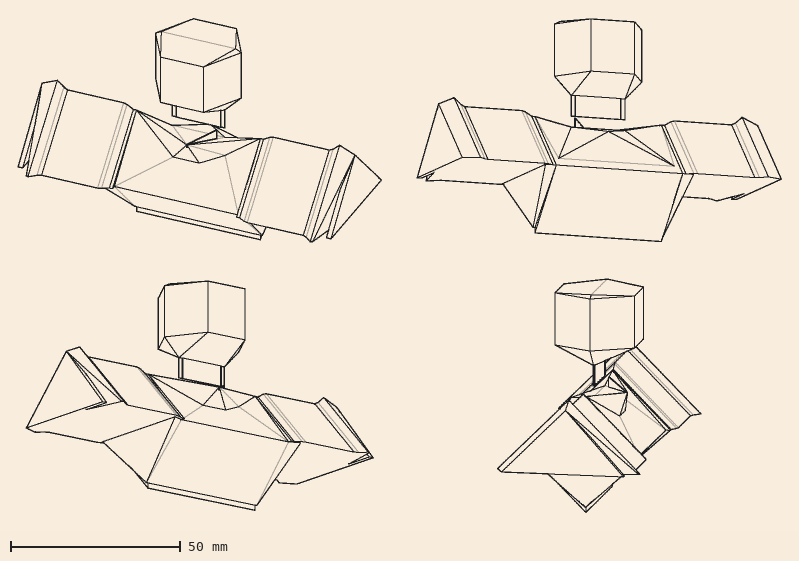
import cadquery as cq
import math


HALF_LENGTH = 50.5
RIM_TIP_RADIUS = 19.3
RIM_X = 45.6
RIM_WIDTH = 42.9
RIM_RADIUS = RIM_WIDTH / 2
RIM_FOOT_X = 43.4
RIM_FOOT_RADIUS = 19.6
SLEEVE_OUTER_X = 42.2
SLEEVE_INNER_X = 24.1
SLEEVE_RADIUS = 19.0
SLEEVE_BEND_X = 23.0
SLEEVE_BEND_RADIUS = 18.7
PIPE_START_X = 21.0
PIPE_RADIUS = 17.5
BODY_HALF_LENGTH = 20.0
SOCKET_STATIONS = [
    (HALF_LENGTH, RIM_TIP_RADIUS),
    (RIM_X, RIM_RADIUS),
    (RIM_FOOT_X, RIM_FOOT_RADIUS),
    (SLEEVE_OUTER_X, SLEEVE_RADIUS),
    (SLEEVE_INNER_X, SLEEVE_RADIUS),
    (SLEEVE_BEND_X, SLEEVE_BEND_RADIUS),
    (PIPE_START_X, PIPE_RADIUS),
    (BODY_HALF_LENGTH, PIPE_RADIUS),
]
END_PLATE_THICKNESS = 1.5
NOTCH_DEPTH = 4.3

BODY_FRONT_Y = -16.1
BRANCH_RADIUS = 8.5
SADDLE_Z = 15.0
BACK_SADDLE_Z = 12.8
BACK_BEND_X = 18.3
BACK_BEND_Y = 14.9
FRONT_NOTCH_LEFT_X = -5.0
FRONT_NOTCH_RIGHT_X = 3.4
FRONT_NOTCH_Z = 8.9
FRONT_PEAK_X = 10.5
FRONT_PEAK_Z = 11.7

SHOULDER_X = 23.4
KEEL_X = 20.6
KEEL_Z = -15.9

FIN_THICKNESS = 0.3
FIN_FOOT_Z = 14.1
FIN_TOP_Z = 18.1
FIN_RIGHT_X = 6.8

HEX_SIDES = 6
HEX_RADIUS = 13.8
HEX_BOTTOM_Z = 29.9
HEX_TOP_Z = 45.6
CAP_TOP_Z = 46.5
TOP_RIDGE_HALF_LENGTH = HEX_RADIUS * math.cos(math.pi / HEX_SIDES)
NECK_TOP_Z = 24.4
NECK_BOTTOM_Z = 18.3
NECK_MIDDLE_HALF_WIDTH = 7.2
NECK_THICKNESS = 0.4
NECK_EDGE_THICKNESS = 0.2


def solid_from_faces(faces):
    """A solid closed by flat faces, each given by its corner points."""
    shell_faces = [
        cq.Face.makeFromWires(cq.Wire.makePolygon([cq.Vector(*p) for p in face], close=True))
        for face in faces
    ]
    return cq.Workplane(cq.Solid.makeSolid(cq.Shell.makeShell(shell_faces)).fix())


def mirrored(point):
    """The point's mirror image on the other half of the pipe."""
    return (-point[0], point[1], point[2])


def roof_section(x, radius, front_reach):
    """Triangle across the pipe axis, with its base on z = 0 and its apex above the axis."""
    corners = [(x, -front_reach, 0), (x, radius, 0), (x, 0, radius)]
    return cq.Wire.makePolygon([cq.Vector(*corner) for corner in corners], close=True)


def ruled_loft(sections):
    return cq.Workplane(cq.Solid.makeLoft(sections, True))


def make_left_socket():
    socket = ruled_loft([roof_section(-x, radius, radius) for x, radius in SOCKET_STATIONS])

    notch = (
        cq.Workplane("XY")
        .polyline(
            [
                (-HALF_LENGTH, 0),
                (-HALF_LENGTH + NOTCH_DEPTH, -RIM_RADIUS),
                (-HALF_LENGTH, -RIM_RADIUS),
            ]
        )
        .close()
        .extrude(RIM_RADIUS)
    )

    plate_faces = [-HALF_LENGTH, -HALF_LENGTH + END_PLATE_THICKNESS]
    plate = ruled_loft([roof_section(x, RIM_TIP_RADIUS, PIPE_RADIUS) for x in plate_faces])
    return socket.cut(notch).union(plate)


def make_upper_half():
    """A roof whose ridge dips to a saddle at the branch."""
    left_ridge = (-BODY_HALF_LENGTH, 0, PIPE_RADIUS)
    left_front = (-BODY_HALF_LENGTH, BODY_FRONT_Y, 0)
    left_back = (-BODY_HALF_LENGTH, PIPE_RADIUS, 0)
    left_bend = (-BACK_BEND_X, BACK_BEND_Y, PIPE_RADIUS - BACK_BEND_Y)
    left_seat = (-BRANCH_RADIUS, 0, SADDLE_Z)
    right_ridge = mirrored(left_ridge)
    right_front = mirrored(left_front)
    right_back = mirrored(left_back)
    right_bend = mirrored(left_bend)
    right_seat = mirrored(left_seat)
    front_seat = (0, -BRANCH_RADIUS, SADDLE_Z)
    back_seat = (0, BRANCH_RADIUS, BACK_SADDLE_Z)

    notch_left = (FRONT_NOTCH_LEFT_X, BODY_FRONT_Y + FRONT_NOTCH_Z, FRONT_NOTCH_Z)
    notch_right = (FRONT_NOTCH_RIGHT_X, BODY_FRONT_Y + FRONT_NOTCH_Z, FRONT_NOTCH_Z)
    peak = (FRONT_PEAK_X, BODY_FRONT_Y + FRONT_PEAK_Z, FRONT_PEAK_Z)

    return solid_from_faces(
        [
            [left_front, left_back, right_back, right_front],
            [left_ridge, left_bend, left_back],
            [left_ridge, left_back, left_front],
            [right_ridge, right_back, right_bend],
            [right_ridge, right_front, right_back],
            [left_front, right_front, peak, notch_right, notch_left],
            [left_ridge, left_front, notch_left],
            [left_ridge, notch_left, front_seat],
            [front_seat, notch_left, notch_right],
            [front_seat, notch_right, peak],
            [front_seat, peak, right_ridge],
            [right_ridge, peak, right_front],
            [left_ridge, front_seat, left_seat],
            [right_ridge, right_seat, front_seat],
            [front_seat, right_seat, left_seat],
            [back_seat, left_seat, right_seat],
            [left_ridge, left_seat, left_bend],
            [left_bend, left_seat, back_seat],
            [right_ridge, right_bend, right_seat],
            [right_bend, back_seat, right_seat],
            [left_bend, back_seat, right_bend],
            [left_back, left_bend, right_bend, right_back],
        ]
    )


def make_lower_half():
    """A keel whose ends reach under the sockets."""
    left_front = (-BODY_HALF_LENGTH, BODY_FRONT_Y, 0)
    left_shoulder_front = (-SHOULDER_X, -PIPE_RADIUS, 0)
    left_shoulder_back = (-SHOULDER_X, PIPE_RADIUS, 0)
    left_keel = (-KEEL_X, 0, KEEL_Z)
    right_front = mirrored(left_front)
    right_shoulder_front = mirrored(left_shoulder_front)
    right_shoulder_back = mirrored(left_shoulder_back)
    right_keel = mirrored(left_keel)
    top_face = [
        left_shoulder_front,
        left_front,
        right_front,
        right_shoulder_front,
        right_shoulder_back,
        left_shoulder_back,
    ]
    keel = solid_from_faces(
        [
            top_face,
            [left_front, left_keel, right_keel, right_front],
            [left_shoulder_front, left_keel, left_front],
            [right_shoulder_front, right_front, right_keel],
            [left_shoulder_front, left_shoulder_back, left_keel],
            [right_shoulder_front, right_keel, right_shoulder_back],
            [left_shoulder_back, right_shoulder_back, right_keel, left_keel],
        ]
    )

    rear_keel = (
        cq.Workplane("YZ")
        .polyline([(0, 0), (PIPE_RADIUS, 0), (0, -PIPE_RADIUS)])
        .close()
        .extrude(BODY_HALF_LENGTH, both=True)
    )
    return keel.union(rear_keel)


def make_seat_fin():
    diagonal = cq.Plane(origin=(0, -BRANCH_RADIUS, 0), xDir=(1, 1, 0), normal=(1, -1, 0))
    reach = FIN_RIGHT_X * math.sqrt(2)
    return (
        cq.Workplane(diagonal)
        .polyline([(0, FIN_FOOT_Z), (reach, FIN_FOOT_Z), (reach, FIN_TOP_Z), (0, SADDLE_Z)])
        .close()
        .extrude(-FIN_THICKNESS)
    )


def wedge_from_hexagon(hex_z, ridge_z, ridge_half_length):
    """Hexagon at hex_z that closes to a straight ridge along X at ridge_z."""
    angles = [2 * math.pi * k / HEX_SIDES for k in range(HEX_SIDES)]
    corners = [(HEX_RADIUS * math.cos(a), HEX_RADIUS * math.sin(a), hex_z) for a in angles]
    right = (ridge_half_length, 0, ridge_z)
    left = (-ridge_half_length, 0, ridge_z)
    return solid_from_faces(
        [
            corners,
            [corners[0], corners[1], right],
            [corners[1], corners[2], left, right],
            [corners[2], corners[3], left],
            [corners[3], corners[4], left],
            [corners[4], corners[5], right, left],
            [corners[5], corners[0], right],
        ]
    )


def neck_blade(half_width, thickness):
    """Upright blade below the cap, running up through the taper into the hexagon's lower face."""
    height = HEX_BOTTOM_Z - NECK_BOTTOM_Z
    blade = cq.Workplane("XY").box(2 * half_width, thickness, height)
    return blade.translate((0, 0, NECK_BOTTOM_Z + height / 2))


def make_cap():
    hexagon = (
        cq.Workplane("XY")
        .workplane(offset=HEX_BOTTOM_Z)
        .polygon(HEX_SIDES, 2 * HEX_RADIUS)
        .extrude(HEX_TOP_Z - HEX_BOTTOM_Z)
    )
    crown = wedge_from_hexagon(HEX_TOP_Z, CAP_TOP_Z, TOP_RIDGE_HALF_LENGTH)
    taper = wedge_from_hexagon(HEX_BOTTOM_Z, NECK_TOP_Z, BRANCH_RADIUS)
    edges = neck_blade(BRANCH_RADIUS, NECK_EDGE_THICKNESS)
    middle = neck_blade(NECK_MIDDLE_HALF_WIDTH, NECK_THICKNESS)
    return hexagon.union(crown).union(taper).union(edges).union(middle)


body = make_upper_half().union(make_lower_half()).union(make_seat_fin())
cap = make_cap()
left_socket = make_left_socket()
sockets = [left_socket, left_socket.mirror("YZ")]

result = cq.Compound.makeCompound([body.val(), cap.val(), *[socket.val() for socket in sockets]])